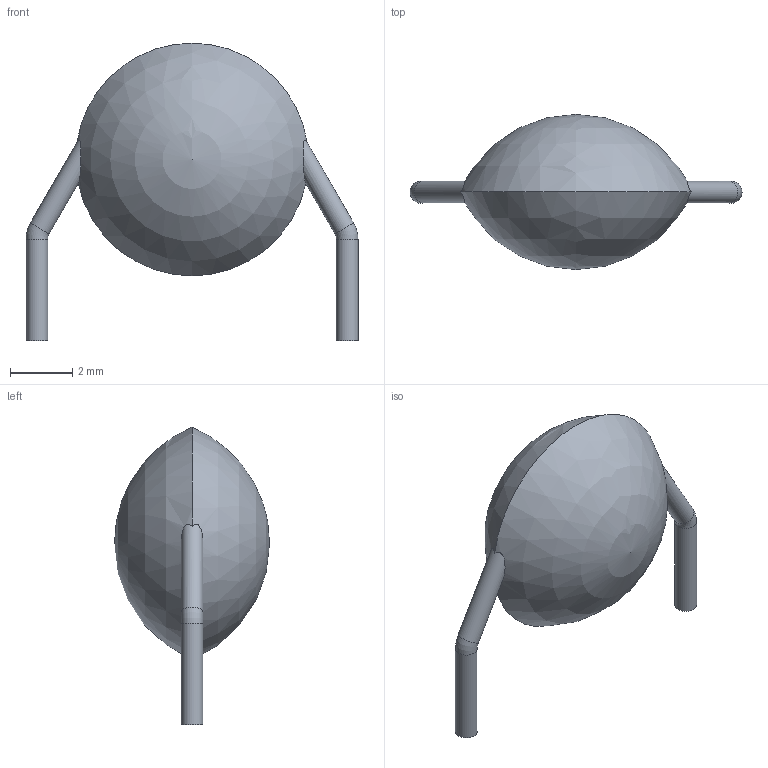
import cadquery as cq
import math

body_diameter = 7.5
body_thickness = 5.0
overall_height = 9.59

lead_diameter = 0.7
lead_pitch = 10.0
lead_straight_length = 3.27
bend_radius = lead_diameter
bend_angle = math.radians(30)
lead_burial_rise = 2 * lead_diameter

body_radius = body_diameter / 2
body_center_z = overall_height - body_radius

lead_x = -lead_pitch / 2
bend_center_x = lead_x + bend_radius
bend_end_x = bend_center_x - bend_radius * math.cos(bend_angle)
bend_end_z = lead_straight_length + bend_radius * math.sin(bend_angle)

lead_tip_z = body_center_z + lead_burial_rise
lead_tip_x = bend_end_x + (lead_tip_z - bend_end_z) * math.tan(bend_angle)


def make_body():
    """Revolve a half lens, bounded by one arc per face, about the Y axis."""
    half_thickness = body_thickness / 2
    face_radius = (body_radius**2 + half_thickness**2) / body_thickness
    sphere_offset = face_radius - half_thickness

    half_sweep = math.asin(body_radius / face_radius) / 2
    mid_z = face_radius * math.sin(half_sweep)
    mid_y = face_radius * math.cos(half_sweep) - sphere_offset

    lens = (
        cq.Workplane("YZ")
        .moveTo(-half_thickness, 0)
        .threePointArc((-mid_y, mid_z), (0, body_radius))
        .threePointArc((mid_y, mid_z), (half_thickness, 0))
        .close()
        .revolve(360, (0, 0, 0), (1, 0, 0))
    )
    return lens.translate((0, 0, body_center_z))


def make_left_lead():
    """Sweep the wire up the straight run, round the bend and into the body."""
    half_bend = bend_angle / 2
    bend_mid = (
        bend_center_x - bend_radius * math.cos(half_bend),
        lead_straight_length + bend_radius * math.sin(half_bend),
    )
    center_line = (
        cq.Workplane("XZ")
        .moveTo(lead_x, 0)
        .lineTo(lead_x, lead_straight_length)
        .threePointArc(bend_mid, (bend_end_x, bend_end_z))
        .lineTo(lead_tip_x, lead_tip_z)
    )
    section_plane = cq.Plane(origin=(lead_x, 0, 0), xDir=(0, 1, 0), normal=(0, 0, 1))
    wire_section = cq.Workplane(section_plane).circle(lead_diameter / 2)
    return wire_section.sweep(center_line)


left_lead = make_left_lead()
right_lead = left_lead.mirror("YZ")
result = make_body().union(left_lead).union(right_lead)